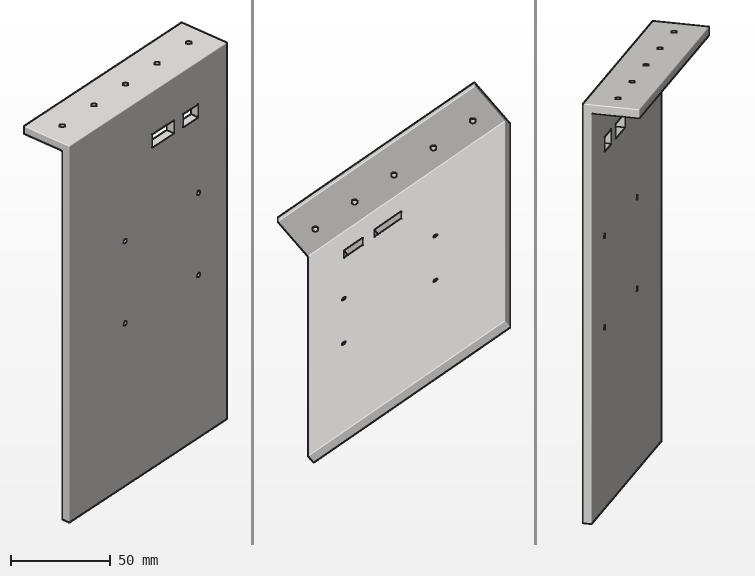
import cadquery as cq

depth = 30.0
width = 125.0
height = 225.0
thickness = 5.0
edge_radius = 0.5

flange_hole_diameter = 3.0
flange_hole_count = 5
flange_hole_pitch = 25.0

mount_hole_diameter = 2.5
mount_pitch_y = 58.0
mount_pitch_z = 49.0
mount_center_y = 10.5
mount_center_z = 122.0

window_height = 7.9
window_center_z = 195.5
windows = [(33.5, 12.0), (11.7, 17.0)]


def make_bracket():
    """Upright plate at the +X side with a flange reaching to X = 0, all edges rounded."""
    plate = cq.Workplane("XY").box(thickness, width, height, centered=(False, True, False))
    plate = plate.translate((depth - thickness, 0, 0))
    flange = cq.Workplane("XY").box(depth, width, thickness, centered=(False, True, False))
    flange = flange.translate((0, 0, height - thickness))
    return plate.union(flange).edges().fillet(edge_radius)


def make_flange_holes():
    return (
        cq.Workplane("XY", origin=(depth / 2, 0, height - thickness))
        .rarray(2.2, flange_hole_pitch, 1, flange_hole_count)
        .circle(flange_hole_diameter / 2)
        .extrude(thickness)
    )


def make_mount_holes():
    return (
        cq.Workplane("YZ", origin=(depth - thickness, mount_center_y, mount_center_z))
        .rarray(mount_pitch_y, mount_pitch_z, 2, 2)
        .circle(mount_hole_diameter / 2)
        .extrude(thickness)
    )


def make_window(center_y, window_width):
    return (
        cq.Workplane("YZ", origin=(depth - thickness, center_y, window_center_z))
        .rect(window_width, window_height)
        .extrude(thickness)
    )


result = make_bracket().cut(make_flange_holes()).cut(make_mount_holes())
for center_y, window_width in windows:
    result = result.cut(make_window(center_y, window_width))